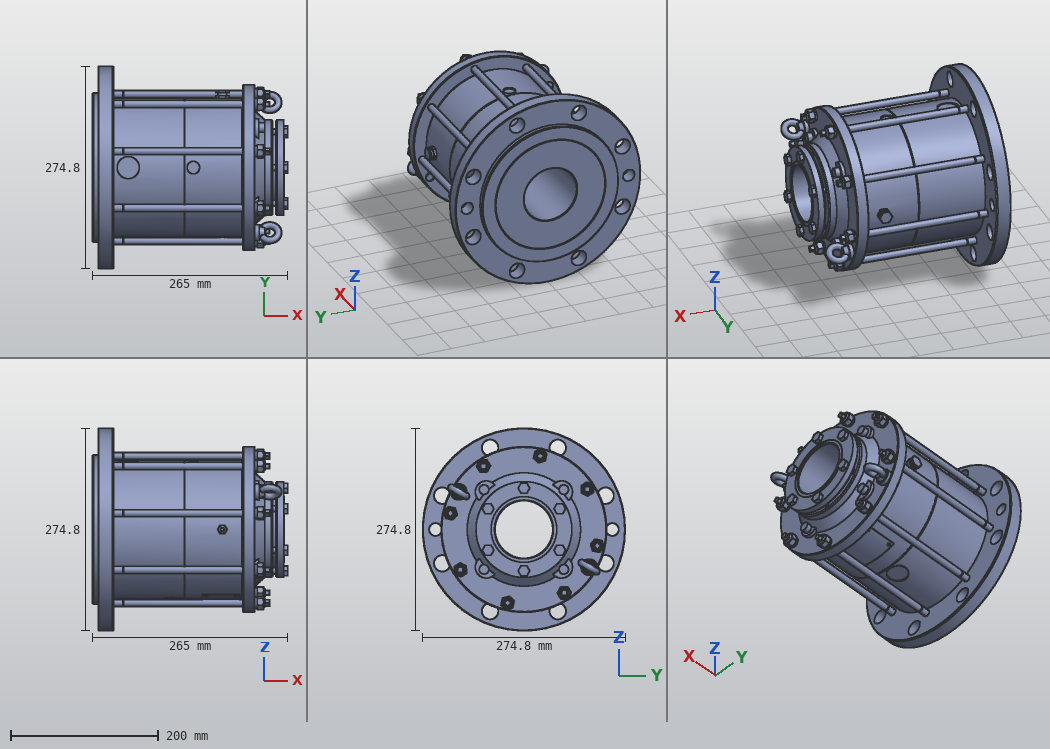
import cadquery as cq
import math

total_length = 265.0
large_flange_d = 274.8
bore_d = 78.0
bore_mouth_d = 80.0
edge_chamfer = 0.8
bevel_length = 2.2
bevel_depth = 0.8

raised_face_d = 202.2
raised_face_length = 8.2
seal_groove_d = 162.0
seal_groove_width = 0.8
large_flange_end = 29.5
flange_hole_d = 22.0
flange_hole_circle_r = 119.8
flange_hole_count = 8
jack_hole_d = 17.0

body_d = 188.0
body_groove_d = 184.0
seam_x = 125.0
seam_width = 1.0
body_end = 202.8

clamp_flange_start = 204.1
clamp_flange_end = 220.5
clamp_flange_d = 224.7
clamp_flange_chamfer = 1.0
cone_base_d = 153.9

disc_d = 130.0
disc_chamfer = 2.0
disc_a_start = 233.5
disc_a_end = 244.5
disc_b_start = 249.0
disc_b_end = 259.6
hub_d = 103.9
end_face_d = 89.0
end_face_height = 0.8

rod_count = 8
rod_circle_r = 102.0
rod_start_angle = 12.5
rod_d = 10.0
rod_groove_x = 41.8
rod_groove_width = 1.0
rod_groove_d = 8.8
washer_d = 15.5
washer_height = 2.7
nut_flats = 16.5
nut_height = 8.8
nut_chamfer = 1.0
cap_base_d = 14.3
cap_height = 2.2
drive_flats = 7.0
drive_corner_d = 8.8
drive_end = 240.5

screw_count = 6
screw_start_angle = 30.0
screw_circle_r = 56.0
screw_d = 8.0
screw_head_flats = 13.7

eye_angles = (30.0, 210.0)
eye_collar_d = 22.0
eye_collar_height = 6.0
eye_neck_base_d = 17.5
eye_neck_tip_d = 13.7
eye_ring_x = 240.7
eye_ring_r = 11.5
eye_bar_d = 9.3
eye_stud_d = 12.0

plug_count = 4
plug_circle_r = 72.0
plug_head_circle_r = 76.5
plug_washer_d = 30.0
plug_washer_end = 225.8
plug_head_d = 13.0

ports = ((49.0, 30.0, 1), (137.0, 17.0, 1), (108.0, 30.0, -1))
port_floor_r = 91.8

fitting_x = 176.5
fitting_root_r = 90.7
nipple_hex_flats = 11.3
nipple_hex_end = 96.7
nipple_tip_d = 5.0
nipple_end = 100.0
union_hex_flats = 16.0
union_neck_d = 12.5
union_inner_end = 97.5
union_outer_start = 101.7
union_end = 104.0

plate_start = 149.2
plate_end = 199.7
plate_half_width = 33.8
plate_thickness = 0.5
plate_screw_inset = 5.2
plate_screw_angle = 18.0
plate_screw_d = 4.0
plate_screw_hole_d = 2.5
plate_screw_height = 0.5


def cylinder(start, end, diameter, y=0.0):
    """Solid cylinder along X."""
    return cq.Workplane("YZ", origin=(start, y, 0)).circle(diameter / 2).extrude(end - start)


def frustum(start, end, start_d, end_d, y=0.0):
    """Solid cone frustum along X."""
    base = cq.Vector(start, y, 0)
    cone = cq.Solid.makeCone(start_d / 2, end_d / 2, end - start, base, cq.Vector(1, 0, 0))
    return cq.Workplane(cone)


def ring(start, end, outer_d, inner_d, y=0.0):
    """Ring along X, used to cut grooves from the outer down to the inner diameter."""
    return cylinder(start, end, outer_d, y).cut(cylinder(start, end, inner_d, y))


def hexagon_d(flats):
    """Corner-to-corner diameter of a hexagon from its width across flats."""
    return flats / math.cos(math.pi / 6)


def around_axis(solid, angles):
    """Copies of a solid turned about the main axis, each starting on the -Y side."""
    return [solid.rotate((0, 0, 0), (1, 0, 0), -angle) for angle in angles]


def evenly(count, start=0.0):
    """Evenly spaced angles around a full turn."""
    return [start + 360.0 * i / count for i in range(count)]


def make_large_flange():
    """Drilled flange with its raised sealing face and ring groove."""
    raised_face = cylinder(0, large_flange_end, raised_face_d).faces("<X").chamfer(bevel_length, bevel_depth)
    flange = cylinder(raised_face_length, large_flange_end, large_flange_d)
    flange = flange.faces("<X").chamfer(edge_chamfer).faces(">X").chamfer(bevel_length, bevel_depth)
    groove = ring(0, seal_groove_width, seal_groove_d + 2 * seal_groove_width, seal_groove_d)
    flange = flange.union(raised_face).cut(groove)

    bolt_hole = cylinder(0, large_flange_end, flange_hole_d, y=-flange_hole_circle_r)
    jack_hole = cylinder(0, large_flange_end, jack_hole_d, y=-flange_hole_circle_r)
    half_pitch = 180.0 / flange_hole_count
    for hole in around_axis(bolt_hole, evenly(flange_hole_count, half_pitch)):
        flange = flange.cut(hole)
    for hole in around_axis(jack_hole, evenly(2)):
        flange = flange.cut(hole)
    return flange


def make_body():
    """Housing cylinder with a seam groove and shallow round ports."""
    body = cylinder(large_flange_end, body_end, body_d)
    body = body.union(cylinder(body_end, clamp_flange_start, body_groove_d))
    body = body.cut(ring(seam_x - seam_width / 2, seam_x + seam_width / 2, body_d, body_groove_d))
    for x, diameter, side in ports:
        port = cq.Workplane("XY", origin=(x, 0, side * port_floor_r))
        body = body.cut(port.circle(diameter / 2).extrude(side * body_d / 2))
    return body


def make_clamp_end():
    """Clamping flange, neck cone and the two discs held apart by a hub."""
    flange = cylinder(clamp_flange_start, clamp_flange_end, clamp_flange_d)
    flange = flange.edges().chamfer(clamp_flange_chamfer)
    cone = frustum(clamp_flange_end, disc_a_start, cone_base_d, disc_d)
    disc_a = cylinder(disc_a_start, disc_a_end, disc_d).faces(">X").chamfer(disc_chamfer)
    disc_b = cylinder(disc_b_start, disc_b_end, disc_d).faces("<X").chamfer(disc_chamfer)
    hub = cylinder(disc_a_end, disc_b_start, hub_d)
    end_face = cylinder(disc_b_end, disc_b_end + end_face_height, end_face_d)
    return flange.union(cone).union(disc_a).union(hub).union(disc_b).union(end_face)


def make_tie_rod():
    """Rod, washer, hexagon nut with conical cap, and squared end, on the -Y side."""
    y = -rod_circle_r
    rod = cylinder(large_flange_end, clamp_flange_start, rod_d, y)
    rod = rod.cut(ring(rod_groove_x, rod_groove_x + rod_groove_width, rod_d, rod_groove_d, y))

    nut_start = clamp_flange_end + washer_height
    nut_end = nut_start + nut_height
    washer = cylinder(clamp_flange_end, nut_start, washer_d, y)
    nut_d = hexagon_d(nut_flats)
    nut = cq.Workplane("YZ", origin=(nut_start, y, 0)).polygon(6, nut_d).extrude(nut_height)
    nut = nut.intersect(cylinder(nut_start, nut_end, nut_d, y).edges().chamfer(nut_chamfer))
    cap = frustum(nut_end, nut_end + cap_height, cap_base_d, rod_d, y)

    drive_start = nut_end + cap_height
    drive = cq.Workplane("YZ", origin=(drive_start, y, 0))
    drive = drive.rect(drive_flats, drive_flats).extrude(drive_end - drive_start)
    drive = drive.rotate((0, y, 0), (1, y, 0), rod_start_angle - 45)
    drive = drive.intersect(cylinder(drive_start, drive_end, drive_corner_d, y))
    return rod.union(washer).union(nut).union(cap).union(drive)


def make_disc_screw():
    """Shank between the discs and a hexagon head outside them, on the -Y side."""
    y = -screw_circle_r
    head = cq.Workplane("YZ", origin=(disc_b_end, y, 0)).polygon(6, hexagon_d(screw_head_flats))
    head = head.extrude(total_length - disc_b_end).rotate((0, y, 0), (1, y, 0), screw_start_angle)
    return cylinder(disc_a_end, disc_b_end, screw_d, y).union(head)


def make_lifting_eye():
    """Collar, tapered neck and ring, with the stud end behind the flange, on the -Y side."""
    y = -rod_circle_r
    collar_end = clamp_flange_end + eye_collar_height
    collar = cylinder(clamp_flange_end, collar_end, eye_collar_d, y)
    neck_end = eye_ring_x - eye_ring_r + eye_bar_d / 2
    neck = frustum(collar_end, neck_end, eye_neck_base_d, eye_neck_tip_d, y)
    ring_center = cq.Vector(eye_ring_x, y, 0)
    eye = cq.Workplane(cq.Solid.makeTorus(eye_ring_r, eye_bar_d / 2, ring_center, cq.Vector(0, 0, 1)))
    eye = eye.rotate((eye_ring_x, y, 0), (eye_ring_x, y, 1), 180)
    stud = cylinder(body_end, clamp_flange_start, eye_stud_d, y)
    return collar.union(neck).union(eye).union(stud)


def make_plug():
    """Washer disc with a round head set farther out, on the -Y side."""
    y = -plug_circle_r
    washer = cylinder(clamp_flange_end, plug_washer_end, plug_washer_d, y)
    return washer.union(cylinder(plug_washer_end, disc_a_start, plug_head_d, -plug_head_circle_r))


def side_plane(radius, side):
    """Workplane at a fitting's axis, facing outward along +Y (side +1) or -Y (side -1)."""
    plane = cq.Plane(origin=(fitting_x, side * radius, 0), xDir=(1, 0, 0), normal=(0, side, 0))
    return cq.Workplane(plane)


def make_nipple():
    """Hexagon with a conical tip."""
    hex_base = side_plane(fitting_root_r, -1).polygon(6, hexagon_d(nipple_hex_flats))
    hex_base = hex_base.extrude(nipple_hex_end - fitting_root_r)
    tip = cq.Solid.makeCone(
        nipple_hex_flats / 2,
        nipple_tip_d / 2,
        nipple_end - nipple_hex_end,
        cq.Vector(fitting_x, -nipple_hex_end, 0),
        cq.Vector(0, -1, 0),
    )
    return hex_base.union(cq.Workplane(tip))


def make_pipe_union():
    """Two hexagons joined by a round neck."""
    hex_d = hexagon_d(union_hex_flats)
    inner_hex = side_plane(fitting_root_r, 1).polygon(6, hex_d).extrude(union_inner_end - fitting_root_r)
    neck = side_plane(fitting_root_r, 1).circle(union_neck_d / 2).extrude(union_end - fitting_root_r)
    outer_hex = side_plane(union_outer_start, 1).polygon(6, hex_d).extrude(union_end - union_outer_start)
    return inner_hex.union(neck).union(outer_hex)


def make_nameplate():
    """Curved plate on the underside of the housing, held by four small screws."""
    plate_r = body_d / 2 + plate_thickness
    plate = cylinder(plate_start, plate_end, 2 * plate_r)
    window = cq.Workplane("XY", origin=((plate_start + plate_end) / 2, 0, 0))
    window = window.rect(plate_end - plate_start, 2 * plate_half_width).extrude(-plate_r)
    plate = plate.intersect(window)
    for x in (plate_start + plate_screw_inset, plate_end - plate_screw_inset):
        for tilt in (-plate_screw_angle, plate_screw_angle):
            head = cq.Workplane("XY", origin=(x, 0, -plate_r - plate_screw_height))
            screw = head.circle(plate_screw_d / 2).extrude(2 * plate_screw_height)
            socket = head.circle(plate_screw_hole_d / 2).extrude(plate_screw_height)
            plate = plate.union(screw.cut(socket).rotate((0, 0, 0), (1, 0, 0), tilt))
    return plate


part = make_large_flange().union(make_body()).union(make_clamp_end())
attachments = around_axis(make_tie_rod(), evenly(rod_count, rod_start_angle))
attachments += around_axis(make_disc_screw(), evenly(screw_count, screw_start_angle))
attachments += around_axis(make_lifting_eye(), eye_angles)
attachments += around_axis(make_plug(), evenly(plug_count, 45.0))
attachments += [make_nipple(), make_pipe_union(), make_nameplate()]
for attachment in attachments:
    part = part.union(attachment)

bore = cylinder(0, total_length, bore_d)
mouth_depth = (bore_mouth_d - bore_d) / 2
bore_end = disc_b_end + end_face_height
bore = bore.union(frustum(0, mouth_depth, bore_mouth_d, bore_d))
bore = bore.union(frustum(bore_end - mouth_depth, bore_end, bore_d, bore_mouth_d))
result = part.cut(bore)